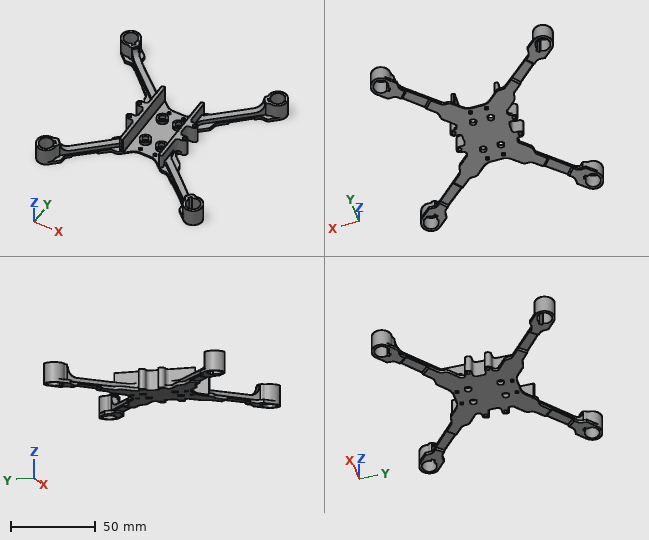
import cadquery as cq
import math

OVERALL_LENGTH = 112.0
HEIGHT = 12.0
PLATE_THICKNESS = 1.0
FLANGE_THICKNESS = 2.0
ARM_HEIGHT = 4.8

RING_RADIUS = 6.0
BORE_RADIUS = 4.5
LOBE_END = 7.8
LOBE_HALF_WIDTH = 3.1
LOBE_CORNER_RADIUS = 2.0
LOBE_BLEND = 2.0
NOTCH_END = 5.7
NOTCH_WIDTH = 2.1
SMALL_HOLE_DIAMETER = 2.0
RING_CENTER = OVERALL_LENGTH / 2 - RING_RADIUS

ARM_ANGLE = math.radians(41.5)
RIB_HALF_WIDTH = 2.0
RIB_WALL_BLEND = 10.0
RIB_SHOULDER_Y = 22.4
RAMP_RADIUS = 6.0
RAMP_END = 14.2
ARM_TIP_HALF_WIDTH = 2.8
ARM_ROOT_HALF_WIDTH = 3.2
TIP_FLARE_START = 7.5
TIP_FLARE_END = 10.8
ROOT_FLARE_START = 38.6
ROOT_FLARE_END = 41.8
ROOT_HALF_WIDTH = 6.2
FLARE_BLEND = 4.0
ROOT_CORNER_RADIUS = 4.0
RELIEF_START = 14.2
RELIEF_END = 30.8
RELIEF_DEPTH = 1.0

PLATE_HALF_LENGTH = 19.6
PLATE_BLEND = 8.0
WALL_OUTER_X = 14.5
WALL_INNER_X = 12.2
WALL_HALF_LENGTH = 25.2
WALL_END_RADIUS = 1.0
LUG_X = 18.6
LUG_Y = 6.0
LUG_RADIUS = 2.0
LUG_BLEND = 2.0
LUG_FLANGE_BLEND = 2.2

STANDOFF_X = 5.5
STANDOFF_Y = 10.0
STANDOFF_DIAMETER = 7.0
STANDOFF_HOLE_DIAMETER = 4.0
STANDOFF_HEIGHT = 3.0
SCREW_X = 4.9
SCREW_Y = 16.9

COINCIDENT = 1.12e-06

COS_ARM = math.cos(ARM_ANGLE)
SIN_ARM = math.sin(ARM_ANGLE)


def arm_point(along, across):
    """Plan position on the +X +Y arm; positive across is the side facing the lugs."""
    x = RING_CENTER - along * COS_ARM + across * SIN_ARM
    y = RING_CENTER - along * SIN_ARM - across * COS_ARM
    return x, y


def arm_line_at_y(across, y):
    """Where a line parallel to the arm reaches a given y."""
    along = (RING_CENTER - across * COS_ARM - y) / SIN_ARM
    return arm_point(along, across)


def arm_line_at_x(across, x):
    """Where a line parallel to the arm reaches a given x."""
    along = (RING_CENTER + across * SIN_ARM - x) / COS_ARM
    return arm_point(along, across)


def rounded_prism(corners, height):
    """Extrude a polygon given as (point, corner radius) pairs."""
    outline = cq.Workplane("XY")
    pen = None
    for i, (point, radius) in enumerate(corners):
        corner = cq.Vector(*point)
        to_previous = (cq.Vector(*corners[i - 1][0]) - corner).normalized()
        to_next = (cq.Vector(*corners[(i + 1) % len(corners)][0]) - corner).normalized()
        half_angle = to_previous.getAngle(to_next) / 2
        setback = radius / math.tan(half_angle)
        arc_start = corner + to_previous * setback
        if pen is None:
            outline = outline.moveTo(arc_start.x, arc_start.y)
        elif (arc_start - pen).Length > COINCIDENT:
            outline = outline.lineTo(arc_start.x, arc_start.y)
        pen = arc_start
        if radius > 0:
            bisector = (to_previous + to_next).normalized()
            middle = corner + bisector * (radius / math.sin(half_angle) - radius)
            pen = corner + to_next * setback
            outline = outline.threePointArc((middle.x, middle.y), (pen.x, pen.y))
    return outline.close().extrude(height)


def cylinder(x, y, radius, height):
    return cq.Workplane("XY").center(x, y).circle(radius).extrude(height)


def arm_side_profile():
    """Vertical workplane through the arm: local x runs along the arm, local y is up."""
    plane = cq.Plane(
        origin=(RING_CENTER, RING_CENTER, 0),
        xDir=(-COS_ARM, -SIN_ARM, 0),
        normal=(-SIN_ARM, COS_ARM, 0),
    )
    return cq.Workplane(plane)


def lug_corners(outer_corner):
    """Corners around one lug, from the wall face out to the tip and back to outer_corner."""
    tip_x = LUG_X + LUG_RADIUS
    low_y = LUG_Y - LUG_RADIUS
    high_y = LUG_Y + LUG_RADIUS
    return [
        ((WALL_OUTER_X, low_y), LUG_BLEND),
        ((tip_x, low_y), LUG_RADIUS),
        ((tip_x, high_y), LUG_RADIUS),
        outer_corner,
    ]


def base_prism(height):
    """Quarter of the base outline: plate, lug, arm flange and tip flare."""
    lug_notch = arm_line_at_y(ROOT_HALF_WIDTH, LUG_Y + LUG_RADIUS)
    plate_corner = arm_line_at_y(-ROOT_HALF_WIDTH, PLATE_HALF_LENGTH)
    corners = [((0, 0), 0), ((WALL_OUTER_X, 0), 0)]
    corners += lug_corners((lug_notch, LUG_FLANGE_BLEND))
    corners += [
        (arm_point(ROOT_FLARE_END, ROOT_HALF_WIDTH), ROOT_CORNER_RADIUS),
        (arm_point(ROOT_FLARE_START, ARM_ROOT_HALF_WIDTH), FLARE_BLEND),
        (arm_point(TIP_FLARE_END, ARM_TIP_HALF_WIDTH), FLARE_BLEND),
        (arm_point(TIP_FLARE_START, RING_RADIUS), 0),
        (arm_point(0, RING_RADIUS), 0),
        (arm_point(0, -RING_RADIUS), 0),
        (arm_point(TIP_FLARE_START, -RING_RADIUS), 0),
        (arm_point(TIP_FLARE_END, -ARM_TIP_HALF_WIDTH), FLARE_BLEND),
        (arm_point(ROOT_FLARE_START, -ARM_ROOT_HALF_WIDTH), FLARE_BLEND),
        (arm_point(ROOT_FLARE_END, -ROOT_HALF_WIDTH), ROOT_CORNER_RADIUS),
        (plate_corner, PLATE_BLEND),
        ((0, PLATE_HALF_LENGTH), 0),
    ]
    return rounded_prism(corners, height)


def base():
    """Base layer, thinner between the two side walls."""
    pocket = cq.Workplane("XY").workplane(offset=PLATE_THICKNESS)
    pocket = pocket.rect(2 * WALL_INNER_X, 2 * WALL_HALF_LENGTH).extrude(HEIGHT)
    return base_prism(FLANGE_THICKNESS).cut(pocket)


def wall_and_lug():
    """Full-height side wall with its lug, trimmed at the end by the base outline."""
    corners = [((WALL_INNER_X, 0), 0), ((WALL_OUTER_X, 0), 0)]
    corners += lug_corners(((WALL_OUTER_X, LUG_Y + LUG_RADIUS), LUG_BLEND))
    corners += [
        ((WALL_OUTER_X, WALL_HALF_LENGTH), WALL_END_RADIUS),
        ((WALL_INNER_X, WALL_HALF_LENGTH), 0),
    ]
    return rounded_prism(corners, HEIGHT).intersect(base_prism(HEIGHT))


def rib():
    """Raised spine of the arm, blended into the wall and ramped up to the ring lobe."""
    wall_middle_x = (WALL_INNER_X + WALL_OUTER_X) / 2
    corners = [
        (arm_point(RING_RADIUS, -RIB_HALF_WIDTH), 0),
        (arm_line_at_y(-RIB_HALF_WIDTH, RIB_SHOULDER_Y), 0),
        ((wall_middle_x, RIB_SHOULDER_Y), 0),
        ((wall_middle_x, LUG_Y), 0),
        ((WALL_OUTER_X, LUG_Y), 0),
        (arm_line_at_x(RIB_HALF_WIDTH, WALL_OUTER_X), RIB_WALL_BLEND),
        (arm_point(RING_RADIUS, RIB_HALF_WIDTH), 0),
    ]
    spine = rounded_prism(corners, ARM_HEIGHT)
    ramp_top = ARM_HEIGHT + RAMP_RADIUS
    ramp_start = RAMP_END - RAMP_RADIUS
    arc_offset = RAMP_RADIUS * (1 - math.sqrt(0.5))
    ramp = (
        arm_side_profile()
        .moveTo(RING_RADIUS, 0)
        .lineTo(RAMP_END, 0)
        .lineTo(RAMP_END, ARM_HEIGHT)
        .threePointArc((ramp_start + arc_offset, ARM_HEIGHT + arc_offset), (ramp_start, ramp_top))
        .lineTo(RING_RADIUS, ramp_top)
        .close()
        .extrude(RIB_HALF_WIDTH, both=True)
    )
    return spine.union(ramp)


def underside_relief():
    """Shallow recess with 45 degree ends under the outer half of the arm."""
    return (
        arm_side_profile()
        .moveTo(RELIEF_START, 0)
        .lineTo(RELIEF_START + RELIEF_DEPTH, RELIEF_DEPTH)
        .lineTo(RELIEF_END - RELIEF_DEPTH, RELIEF_DEPTH)
        .lineTo(RELIEF_END, 0)
        .close()
        .extrude(RING_RADIUS, both=True)
    )


def motor_ring():
    """Ring with a squared lobe toward the arm, blended into the ring."""
    lobe_corners = [
        (arm_point(0, LOBE_HALF_WIDTH), 0),
        (arm_point(0, -LOBE_HALF_WIDTH), 0),
        (arm_point(LOBE_END, -LOBE_HALF_WIDTH), LOBE_CORNER_RADIUS),
        (arm_point(LOBE_END, LOBE_HALF_WIDTH), LOBE_CORNER_RADIUS),
    ]
    ring = cylinder(RING_CENTER, RING_CENTER, RING_RADIUS, HEIGHT)
    ring = ring.union(rounded_prism(lobe_corners, HEIGHT))
    junction_along = math.sqrt(RING_RADIUS**2 - LOBE_HALF_WIDTH**2)
    for across in (-LOBE_HALF_WIDTH, LOBE_HALF_WIDTH):
        junction = (*arm_point(junction_along, across), HEIGHT / 2)
        ring = ring.edges(cq.selectors.NearestToPointSelector(junction)).fillet(LOBE_BLEND)
    return ring


def motor_bore():
    """Bore with a rectangular notch reaching into the lobe."""
    notch_corners = [
        (arm_point(0, NOTCH_WIDTH / 2), 0),
        (arm_point(0, -NOTCH_WIDTH / 2), 0),
        (arm_point(NOTCH_END, -NOTCH_WIDTH / 2), 0),
        (arm_point(NOTCH_END, NOTCH_WIDTH / 2), 0),
    ]
    bore = cylinder(RING_CENTER, RING_CENTER, BORE_RADIUS, HEIGHT)
    return bore.union(rounded_prism(notch_corners, HEIGHT))


def quarter():
    """The +X +Y quarter of the frame."""
    body = base().union(wall_and_lug()).union(rib())
    body = body.union(motor_ring())
    body = body.union(cylinder(STANDOFF_X, STANDOFF_Y, STANDOFF_DIAMETER / 2, STANDOFF_HEIGHT))

    body = body.cut(underside_relief())
    body = body.cut(motor_bore())
    body = body.cut(cylinder(STANDOFF_X, STANDOFF_Y, STANDOFF_HOLE_DIAMETER / 2, HEIGHT))
    for x, y in [(LUG_X, LUG_Y), (SCREW_X, SCREW_Y)]:
        body = body.cut(cylinder(x, y, SMALL_HOLE_DIAMETER / 2, HEIGHT))
    return body


right_half = quarter()
right_half = right_half.union(right_half.mirror("XZ"))
result = right_half.union(right_half.mirror("YZ")).clean()